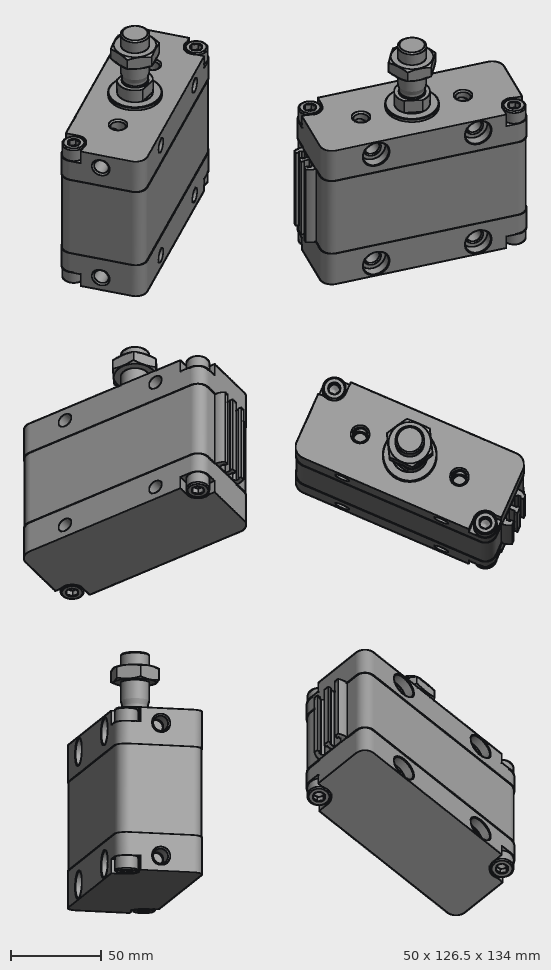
import cadquery as cq
import math

BODY_WIDTH = 50.0
BODY_LENGTH = 121.1
TOTAL_HEIGHT = 134.0
BARREL_BOTTOM = 21.0
BARREL_TOP = 71.0
BODY_TOP = 91.9
CORNER_RADIUS = 7.0
BARREL_INSET = 0.4

MOUNT_Y = 30.0
HOLE_EDGE_OFFSET = 8.5
HOLE_DIAMETER = 8.5
HOLE_MOUTH_DIAMETER = 10.5
BORE_MOUTH_DIAMETER = 10.0
HOLE_FLOOR_BEVEL = 0.4
TOP_HOLE_DEPTH = 14.7
PORT_DEPTH = 12.0
COUNTERBORE_DIAMETER = 15.0
COUNTERBORE_MOUTH_DIAMETER = 15.8
COUNTERBORE_DEPTH = 6.0

HEAD_DIAMETER = 13.0
HEAD_TOP_DIAMETER = 11.4
POCKET_DEPTH = 8.0
POCKET_DIAMETER = 14.0
POCKET_WIDTH = 13.3
SOCKET_ACROSS_FLATS = 6.0
SOCKET_MOUTH_DIAMETER = 7.0
SOCKET_DEPTH = 4.0
SOCKET_CONE_HEIGHT = 1.7

COLLAR_DIAMETER = 30.0
COLLAR_HEIGHT = 2.0
COLLAR_CHAMFER = 0.4

ROD_DIAMETER = 20.0
ROD_SHOULDER_Z = 102.0
ROD_ACROSS_FLATS = 17.0
ROD_FLAT_ANGLE = 14.0
NECK_FOOT_DIAMETER = 15.0
NECK_DIAMETER = 14.3
NECK_BOTTOM_Z = 102.9
NECK_TOP_Z = 104.7
THREAD_DIAMETER = 16.0
THREAD_BOTTOM_Z = 107.6
ROD_TIP_DIAMETER = 14.0
ROD_TIP_CHAMFER_HEIGHT = 0.8

NUT_ACROSS_FLATS = 24.0
NUT_BOTTOM_Z = 117.9
NUT_HEIGHT = 8.0
NUT_FACE_DIAMETER = 23.5
NUT_CHAMFER_ANGLE = 25.0

RAIL_HEIGHT = 5.4
RAIL_HALF_WIDTH = 10.9
RAIL_TIP_HALF_WIDTH = 9.2
RAIL_FLOOR_HEIGHT = 0.3
RAIL_LIP_THICKNESS = 2.0
SLOT_HALF_WIDTH = 7.6
SLOT_MOUTH_HALF_WIDTH = 6.8
SLOT_FOOT_CHAMFER = 1.3
TEE_STEM_HALF_WIDTH = 1.2
TEE_HEAD_HALF_WIDTH = 1.7

HALF_WIDTH = BODY_WIDTH / 2
HALF_LENGTH = BODY_LENGTH / 2
UPPER_HOLE_Z = BODY_TOP - HOLE_EDGE_OFFSET
LOWER_HOLE_Z = HOLE_EDGE_OFFSET
SCREW_X = HALF_WIDTH - POCKET_DIAMETER / 2
SCREW_Y = HALF_LENGTH - POCKET_DIAMETER / 2


def hexagon(across_flats, height):
    """Hexagonal prism on z = 0, with two of its flats facing +/-X."""
    return (cq.Workplane("XY")
            .polygon(6, across_flats / math.cos(math.pi / 6))
            .extrude(height)
            .rotate((0, 0, 0), (0, 0, 1), 30))


def rounded_block(inset, bottom, top):
    """Upright block with rounded corners, set back from the cap outline by inset."""
    return (cq.Workplane("XY")
            .workplane(offset=bottom)
            .rect(BODY_WIDTH - 2 * inset, BODY_LENGTH - 2 * inset)
            .extrude(top - bottom)
            .edges("|Z")
            .fillet(CORNER_RADIUS - inset))


def chamfered_hole(diameter, mouth_diameter, depth):
    """Cutter for a hole that runs down from z = 0 and has a 45 degree mouth."""
    radius = diameter / 2
    mouth_radius = mouth_diameter / 2
    return (cq.Workplane("XZ")
            .polyline([(0, 0),
                       (mouth_radius, 0),
                       (radius, radius - mouth_radius),
                       (radius, -depth),
                       (0, -depth)])
            .close()
            .revolve(360, (0, 0), (0, 1)))


def blind_hole(depth):
    """Cutter for a port or top hole, with a bevel around its floor."""
    return (chamfered_hole(HOLE_DIAMETER, HOLE_MOUTH_DIAMETER, depth)
            .faces("<Z")
            .chamfer(HOLE_FLOOR_BEVEL))


def side_mount_cutter():
    """Through hole along X with a counterbore sunk from the -X side."""
    bore = chamfered_hole(HOLE_DIAMETER, BORE_MOUTH_DIAMETER, BODY_WIDTH)
    counterbore = chamfered_hole(COUNTERBORE_DIAMETER, COUNTERBORE_MOUTH_DIAMETER, COUNTERBORE_DEPTH)
    return (bore.translate((0, 0, -COUNTERBORE_DEPTH))
            .union(counterbore)
            .rotate((0, 0, 0), (0, 1, 0), -90)
            .translate((-HALF_WIDTH, 0, 0)))


def cut_side_holes(cap, hole_z):
    """Two mounting holes through the cap along X and one port in its -Y end."""
    for y in (-MOUNT_Y, MOUNT_Y):
        cap = cap.cut(side_mount_cutter().translate((0, y, hole_z)))
    port = (blind_hole(PORT_DEPTH)
            .rotate((0, 0, 0), (1, 0, 0), 90)
            .translate((0, -HALF_LENGTH, hole_z)))
    return cap.cut(port)


def corner_pocket():
    """Cutter below z = 0 for the pocket around a screw head in the +X, +Y corner."""
    straight = (cq.Workplane("XY")
                .box(POCKET_WIDTH, POCKET_DIAMETER, POCKET_DEPTH, centered=False)
                .translate((HALF_WIDTH - POCKET_WIDTH, HALF_LENGTH - POCKET_DIAMETER, -POCKET_DEPTH)))
    inner_corner = (cq.Workplane("XY")
                    .box(POCKET_DIAMETER / 2, POCKET_DIAMETER / 2, POCKET_DEPTH, centered=False)
                    .translate((SCREW_X - POCKET_DIAMETER / 2, SCREW_Y - POCKET_DIAMETER / 2, -POCKET_DEPTH)))
    round_part = (cq.Workplane("XY")
                  .circle(POCKET_DIAMETER / 2)
                  .extrude(-POCKET_DEPTH)
                  .translate((SCREW_X, SCREW_Y, 0)))
    return straight.cut(inner_corner).union(round_part)


def screw_head():
    """Socket head in the +X, +Y corner, its top face at z = 0."""
    head = (cq.Workplane("XY")
            .circle(HEAD_DIAMETER / 2)
            .extrude(-POCKET_DEPTH)
            .faces(">Z")
            .chamfer((HEAD_DIAMETER - HEAD_TOP_DIAMETER) / 2))
    socket = hexagon(SOCKET_ACROSS_FLATS, SOCKET_DEPTH).translate((0, 0, -SOCKET_DEPTH))
    drill_point = (cq.Workplane("XZ")
                   .polyline([(0, 0),
                              (SOCKET_ACROSS_FLATS / 2, 0),
                              (0, -SOCKET_CONE_HEIGHT)])
                   .close()
                   .revolve(360, (0, 0), (0, 1))
                   .translate((0, 0, -SOCKET_DEPTH)))
    mouth = chamfered_hole(SOCKET_ACROSS_FLATS, SOCKET_MOUTH_DIAMETER, SOCKET_DEPTH)
    head = head.cut(socket).cut(drill_point).cut(mouth)
    return head.translate((SCREW_X, SCREW_Y, 0))


def add_screw_heads(cap, place):
    """Two pocketed screw heads in opposite corners; place moves them onto the cap face."""
    for turn in (0, 180):
        pocket = corner_pocket().rotate((0, 0, 0), (0, 0, 1), turn)
        head = screw_head().rotate((0, 0, 0), (0, 0, 1), turn)
        cap = cap.cut(place(pocket)).union(place(head))
    return cap


def make_bottom_cap():
    cap = rounded_block(0, 0, BARREL_BOTTOM)
    cap = cut_side_holes(cap, LOWER_HOLE_Z)
    return add_screw_heads(cap, lambda shape: shape.mirror("XY"))


def make_top_cap():
    cap = rounded_block(0, BARREL_TOP, BODY_TOP)
    cap = cut_side_holes(cap, UPPER_HOLE_Z)
    for y in (-MOUNT_Y, MOUNT_Y):
        top_hole = blind_hole(TOP_HOLE_DEPTH)
        cap = cap.cut(top_hole.translate((0, y, BODY_TOP)))
    cap = add_screw_heads(cap, lambda shape: shape.translate((0, 0, BODY_TOP)))
    collar = (cq.Workplane("XY")
              .workplane(offset=BODY_TOP)
              .circle(COLLAR_DIAMETER / 2)
              .extrude(COLLAR_HEIGHT)
              .faces(">Z")
              .chamfer(COLLAR_CHAMFER))
    rod_bore = (cq.Workplane("XY")
                .workplane(offset=BARREL_TOP)
                .circle(ROD_DIAMETER / 2)
                .extrude(BODY_TOP + COLLAR_HEIGHT - BARREL_TOP))
    return cap.union(collar).cut(rod_bore)


def sensor_rail():
    """Slotted rail profile on the +Y side, as long as the barrel is high."""
    root_y = HALF_LENGTH - CORNER_RADIUS
    floor_y = HALF_LENGTH + RAIL_FLOOR_HEIGHT
    tip_y = HALF_LENGTH + RAIL_HEIGHT
    lip_y = tip_y - RAIL_LIP_THICKNESS
    half_profile = (cq.Workplane("XY")
                    .workplane(offset=BARREL_BOTTOM)
                    .moveTo(0, root_y)
                    .lineTo(RAIL_HALF_WIDTH, root_y)
                    .lineTo(RAIL_HALF_WIDTH, HALF_LENGTH)
                    .tangentArcPoint((RAIL_TIP_HALF_WIDTH, tip_y), relative=False)
                    .lineTo(SLOT_MOUTH_HALF_WIDTH, tip_y)
                    .lineTo(SLOT_MOUTH_HALF_WIDTH, lip_y)
                    .lineTo(SLOT_HALF_WIDTH, lip_y)
                    .lineTo(SLOT_HALF_WIDTH, floor_y + SLOT_FOOT_CHAMFER)
                    .lineTo(SLOT_HALF_WIDTH - SLOT_FOOT_CHAMFER, floor_y)
                    .lineTo(TEE_STEM_HALF_WIDTH, floor_y)
                    .lineTo(TEE_STEM_HALF_WIDTH, lip_y)
                    .lineTo(TEE_HEAD_HALF_WIDTH, lip_y)
                    .lineTo(TEE_HEAD_HALF_WIDTH, tip_y)
                    .lineTo(0, tip_y)
                    .close())
    half_rail = half_profile.extrude(BARREL_TOP - BARREL_BOTTOM)
    return half_rail.union(half_rail.mirror("YZ")).clean()


def make_barrel():
    return rounded_block(BARREL_INSET, BARREL_BOTTOM, BARREL_TOP).union(sensor_rail())


def make_rod():
    shoulder_radius = ROD_DIAMETER / 2
    thread_radius = THREAD_DIAMETER / 2
    rod = (cq.Workplane("XZ")
           .polyline([(0, BARREL_TOP),
                      (shoulder_radius, BARREL_TOP),
                      (shoulder_radius, ROD_SHOULDER_Z),
                      (NECK_FOOT_DIAMETER / 2, ROD_SHOULDER_Z),
                      (NECK_DIAMETER / 2, NECK_BOTTOM_Z),
                      (NECK_DIAMETER / 2, NECK_TOP_Z),
                      (thread_radius, THREAD_BOTTOM_Z),
                      (thread_radius, TOTAL_HEIGHT - ROD_TIP_CHAMFER_HEIGHT),
                      (ROD_TIP_DIAMETER / 2, TOTAL_HEIGHT),
                      (0, TOTAL_HEIGHT)])
           .close()
           .revolve(360, (0, 0), (0, 1)))
    flats_bottom = BODY_TOP + COLLAR_HEIGHT
    flat_depth = (ROD_DIAMETER - ROD_ACROSS_FLATS) / 2
    for side in (0, 180):
        flat = (cq.Workplane("XY")
                .box(flat_depth, ROD_DIAMETER, ROD_SHOULDER_Z - flats_bottom, centered=(False, True, False))
                .translate((ROD_ACROSS_FLATS / 2, 0, flats_bottom))
                .rotate((0, 0, 0), (0, 0, 1), side - ROD_FLAT_ANGLE))
        rod = rod.cut(flat)
    return rod


def make_nut():
    """Hexagon nut whose corners are turned off conically at both ends."""
    face_radius = NUT_FACE_DIAMETER / 2
    corner_radius = NUT_ACROSS_FLATS / 2 / math.cos(math.pi / 6)
    corner_drop = (corner_radius - face_radius) * math.tan(math.radians(NUT_CHAMFER_ANGLE))
    turned_blank = (cq.Workplane("XZ")
                    .polyline([(0, 0),
                               (face_radius, 0),
                               (corner_radius, corner_drop),
                               (corner_radius, NUT_HEIGHT - corner_drop),
                               (face_radius, NUT_HEIGHT),
                               (0, NUT_HEIGHT)])
                    .close()
                    .revolve(360, (0, 0), (0, 1)))
    bore = cq.Workplane("XY").circle(THREAD_DIAMETER / 2).extrude(NUT_HEIGHT)
    nut = hexagon(NUT_ACROSS_FLATS, NUT_HEIGHT).intersect(turned_blank).cut(bore)
    return nut.translate((0, 0, NUT_BOTTOM_Z))


bottom_cap = make_bottom_cap()
barrel = make_barrel()
top_cap = make_top_cap()
rod = make_rod()
nut = make_nut()

result = cq.Compound.makeCompound([
    bottom_cap.val(),
    barrel.val(),
    top_cap.val(),
    rod.val(),
    nut.val(),
])